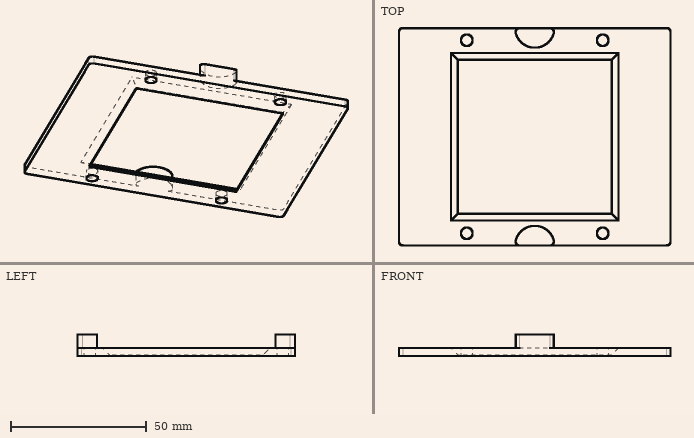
import cadquery as cq

plate_length = 100.0
plate_width = 80.0
plate_thickness = 3.0
plate_corner_radius = 1.5

window_slope_depth = 2.5
window_lip_side = 56.6
window_top_side = window_lip_side + 2 * window_slope_depth

hole_diameter = 4.2
hole_spacing_x = 50.0
hole_spacing_y = 71.0

tab_radius = 7.25
tab_corner_radius = 1.5
tab_height = 5.0


def make_plate():
    """Rounded rectangular plate, centred in X and Y, with its bottom at Z = 0."""
    plate = cq.Workplane("XY").box(
        plate_length, plate_width, plate_thickness, centered=(True, True, False)
    )
    return plate.edges("|Z").fillet(plate_corner_radius)


def cut_window(plate):
    """Cut the straight square opening, then slope its walls from the top edge."""
    opened = plate.faces(">Z").workplane().rect(window_lip_side, window_lip_side).cutThruAll()
    slope = (
        cq.Workplane("XY")
        .workplane(offset=plate_thickness - window_slope_depth)
        .rect(window_lip_side, window_lip_side)
        .workplane(offset=window_slope_depth)
        .rect(window_top_side, window_top_side)
        .loft(ruled=True)
    )
    return opened.cut(slope)


def drill_holes(plate):
    """Drill a rectangular pattern of four through holes, one pair beside each long edge."""
    return (
        plate.faces(">Z")
        .workplane(centerOption="ProjectedOrigin")
        .rect(hole_spacing_x, hole_spacing_y, forConstruction=True)
        .vertices()
        .hole(hole_diameter)
    )


def make_tab(side):
    """Half-round tab with its flat face on the plate edge at Y = side * plate_width / 2."""
    edge_y = side * plate_width / 2
    tab = (
        cq.Workplane("XY")
        .workplane(offset=plate_thickness)
        .moveTo(-tab_radius, edge_y)
        .threePointArc((0, edge_y - side * tab_radius), (tab_radius, edge_y))
        .close()
        .extrude(tab_height)
    )
    return tab.edges("|Z").fillet(tab_corner_radius)


result = drill_holes(cut_window(make_plate()))
for side in (-1, 1):
    result = result.union(make_tab(side))